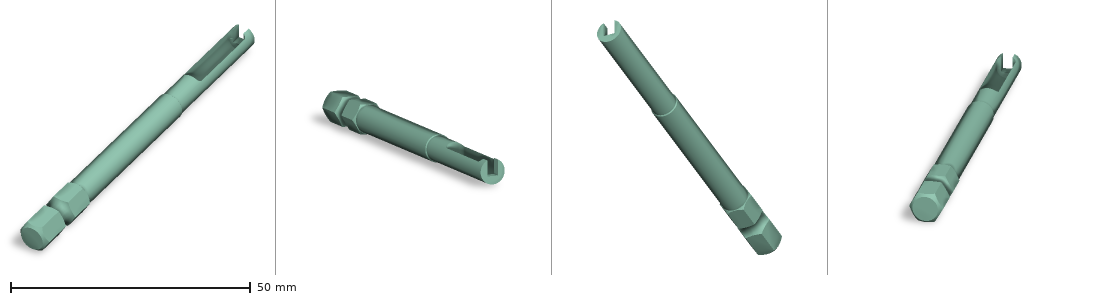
import cadquery as cq
import math

length = 80.0

shank_diameter = 6.0
tip_diameter = 5.5
tip_length = 27.6
shank_edge_chamfer = 0.2

hex_step = 0.18
hex_flats = shank_diameter + 2 * hex_step
hex_corner_radius = hex_flats / math.sqrt(3)
hex_length = 16.9
end_face_radius = 2.7
end_bevel_length = 1.1
shoulder_face_radius = 3.2
shoulder_bevel_length = 0.5

groove_center = 9.1
groove_half_width = 1.8
neck_radius = 2.3

window_width = 4.2
window_length = 17.9
window_corner_radius = 0.9
bore_cone_length = 0.5
bore_cone_depth = 0.9

end_wall = 2.0
notch_width = 2.5
notch_floor = -1.0


def cylinder(diameter, start, size):
    """Cylinder on the Y axis, running from Y = start towards +Y."""
    plane = cq.Workplane("XZ", origin=(0, start, 0))
    return plane.circle(diameter / 2).extrude(-size)


def make_hex_drive():
    """Hexagonal prism trimmed by a turned envelope: bevelled ends and the groove."""
    prism = cq.Workplane("XZ").polygon(6, 2 * hex_corner_radius).extrude(-hex_length)
    envelope = (
        cq.Workplane("XY")
        .lineTo(end_face_radius, 0)
        .lineTo(hex_corner_radius, end_bevel_length)
        .lineTo(hex_corner_radius, groove_center - groove_half_width)
        .threePointArc(
            (neck_radius, groove_center),
            (hex_corner_radius, groove_center + groove_half_width),
        )
        .lineTo(hex_corner_radius, hex_length - shoulder_bevel_length)
        .lineTo(shoulder_face_radius, hex_length)
        .lineTo(0, hex_length)
        .close()
        .revolve(360, (0, 0, 0), (0, 1, 0))
    )
    return prism.intersect(envelope)


def make_shank():
    """Plain round shank between the hex drive and the tip."""
    shank = cylinder(shank_diameter, hex_length, length - tip_length - hex_length)
    return shank.faces(">Y").chamfer(shank_edge_chamfer)


def make_window():
    """Round-cornered pocket: straight-sided above the axis, half-round below, coned at the tip."""
    window_end = length - end_wall
    window_start = window_end - window_length
    plan = (
        cq.Workplane("XY", origin=(0, window_start + window_length / 2, 0))
        .rect(window_width, window_length)
        .extrude(tip_diameter, both=True)
        .edges("|Z")
        .fillet(window_corner_radius)
    )
    upper = cq.Workplane("XY", origin=(0, window_start, 0)).box(
        window_width, window_length, tip_diameter, centered=(True, False, False)
    )
    lower = cylinder(window_width, window_start, window_length)
    lower = lower.faces(">Y").chamfer(bore_cone_length, bore_cone_depth)
    return plan.intersect(upper.union(lower))


def make_notch():
    """Narrow flat-bottomed notch that runs from the window out of the tip face."""
    notch_length = end_wall + window_corner_radius
    return cq.Workplane("XY", origin=(0, length - notch_length, notch_floor)).box(
        notch_width, notch_length, tip_diameter, centered=(True, False, False)
    )


tip = cylinder(tip_diameter, length - tip_length, tip_length)
result = make_hex_drive().union(make_shank()).union(tip)
result = result.cut(make_window()).cut(make_notch())